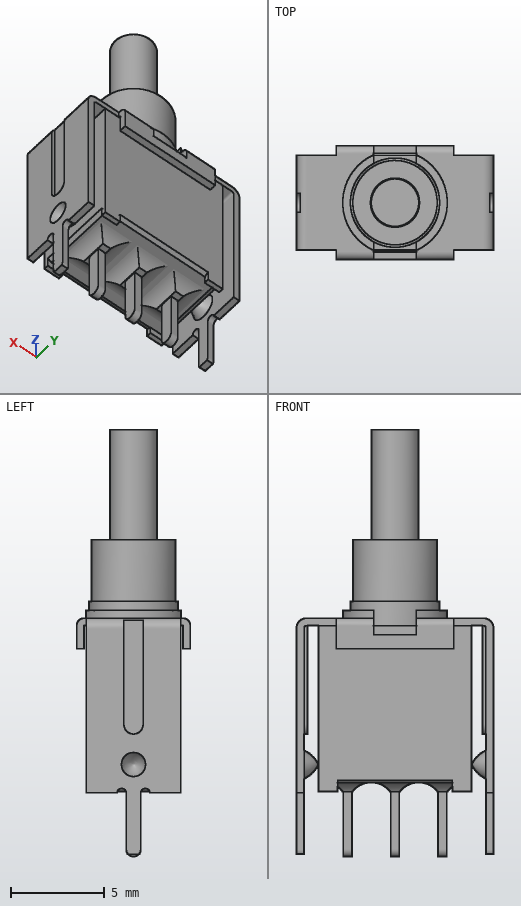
import cadquery as cq
import math


block_length = 8.2
block_width = 5.08
block_bottom = -8.88
recess_length = 6.15
recess_width = 4.5
recess_ceiling = block_bottom + 0.62

bushing_diameter = 4.52
bushing_top = 4.6
bushing_base_diameter = 4.78
bushing_base_top = 1.3
plunger_diameter = 2.54
plunger_bore_diameter = 2.63
plunger_top = 10.49
overall_height = 22.85

pin_pitch = 2.54
pin_count = 3
pin_thickness = 0.48
pin_width = 0.78
pin_bottom = plunger_top - overall_height
sealant_film = 0.15
sealant_edge_taper = 60
skirt_foot_length = 0.54
skirt_foot_width = 1.6
skirt_middle_offset = 0.24
skirt_middle_height = 0.24
skirt_root_offset = 0.82

sheet = 0.41
bracket_length = 10.56
bracket_width = block_width
leg_bend_radius = 0.55
leg_bottom = -8.95
bracket_pin_bottom = -12.22
bracket_pin_cut = 0.17
relief_radius = 0.24

tab_length = 6.3
tab_span = 6.1
tab_bottom = -1.24
tab_bend_radius = 0.999 * sheet
notch_length = 2.3
notch_bottom = -0.485
collar_diameter = 5.6
collar_top = 2 * sheet

rib_width = 1.03
rib_depth = 0.2
rib_bottom = -5.8
dimple_z = -7.43
dimple_mouth_diameter = 1.29
dimple_base_diameter = 1.55
dimple_bulge = 0.1

half_length = bracket_length / 2
leg_inner_x = half_length - sheet
pin_xs = [(i - (pin_count - 1) / 2) * pin_pitch for i in range(pin_count)]


def box_between(x_min, x_max, y_min, y_max, z_min, z_max):
    """Axis-aligned box between the given limits."""
    size = (x_max - x_min, y_max - y_min, z_max - z_min)
    return cq.Workplane("XY").box(*size, centered=False).translate((x_min, y_min, z_min))


def cylinder(diameter, z_min, z_max):
    """Upright cylinder on the Z axis."""
    return cq.Workplane("XY").workplane(offset=z_min).circle(diameter / 2).extrude(z_max - z_min)


def round_tipped_strip(width, tip_z, top_z, x_min, x_max):
    """Upright strip with a half-round lower end, lying between two X planes."""
    radius = width / 2
    return (
        cq.Workplane("YZ")
        .workplane(offset=x_min)
        .moveTo(-radius, top_z)
        .lineTo(-radius, tip_z + radius)
        .threePointArc((0, tip_z), (radius, tip_z + radius))
        .lineTo(radius, top_z)
        .close()
        .extrude(x_max - x_min)
    )


def both_ends(right_half):
    """The given shape together with its mirror image across the YZ plane."""
    return right_half.union(right_half.mirror("YZ"))



def make_skirt_prism(plane, foot):
    """Long prism whose section flares in a hollow curve from its foot up to the sealant film."""
    middle = foot + skirt_middle_offset
    root = foot + skirt_root_offset
    middle_z = block_bottom + skirt_middle_height
    film_z = recess_ceiling - sealant_film
    return (
        cq.Workplane(plane)
        .moveTo(-foot, block_bottom)
        .lineTo(foot, block_bottom)
        .threePointArc((middle, middle_z), (root, film_z))
        .lineTo(root, recess_ceiling)
        .lineTo(-root, recess_ceiling)
        .lineTo(-root, film_z)
        .threePointArc((-middle, middle_z), (-foot, block_bottom))
        .close()
        .extrude(block_length / 2, both=True)
    )


def make_sealant():
    """Film under the block with sloping edges, and a four-sided skirt around each pin."""
    film = (
        cq.Workplane("XY", origin=(0, 0, recess_ceiling))
        .rect(block_length, block_width)
        .extrude(-sealant_film, taper=sealant_edge_taper)
    )
    skirt = make_skirt_prism("XZ", skirt_foot_length / 2)
    skirt = skirt.intersect(make_skirt_prism("YZ", skirt_foot_width / 2))
    for x in pin_xs:
        film = film.union(skirt.translate((x, 0, 0)))
    return film


def make_housing():
    """Block on four corner feet, with sealant, pins, bushing and plunger."""
    block_end = block_length / 2
    block_side = block_width / 2
    body = box_between(-block_end, block_end, -block_side, block_side, recess_ceiling, 0)
    foot = box_between(
        recess_length / 2, block_end, recess_width / 2, block_side, block_bottom, recess_ceiling
    )
    right_feet = foot.union(foot.mirror("XZ"))
    body = body.union(both_ends(right_feet)).union(make_sealant())
    for x in pin_xs:
        half_pin = pin_thickness / 2
        body = body.union(
            round_tipped_strip(pin_width, pin_bottom, recess_ceiling, x - half_pin, x + half_pin)
        )
    body = body.union(cylinder(bushing_base_diameter, 0, bushing_base_top))
    body = body.union(cylinder(bushing_diameter, 0, bushing_top))
    body = body.cut(cylinder(plunger_bore_diameter, 0, bushing_top))
    return body.union(cylinder(plunger_diameter, 0, plunger_top))



def make_channel():
    """Top plate with a leg bent down at each end."""
    half_width = bracket_width / 2
    outer = box_between(-half_length, half_length, -half_width, half_width, leg_bottom, sheet)
    outer = outer.edges("|Y and >Z").fillet(leg_bend_radius)
    inner = box_between(-leg_inner_x, leg_inner_x, -half_width, half_width, leg_bottom, 0)
    inner = inner.edges("|Y and >Z").fillet(leg_bend_radius - sheet)
    return outer.cut(inner)


def make_tabs():
    """Strip across the plate whose front and back ends are bent down over the block."""
    outer = cq.Workplane("XY").box(tab_length, tab_span, sheet - tab_bottom, centered=(True, True, False))
    outer = outer.translate((0, 0, tab_bottom)).edges("|X and >Z").fillet(tab_bend_radius)
    inner = cq.Workplane("XY").box(tab_length, tab_span - 2 * sheet, 2 * -tab_bottom)
    return outer.cut(inner.translate((0, 0, tab_bottom)))


def make_bracket_pin():
    """Solder pin below a leg, its half-round end cut off flat."""
    radius = pin_width / 2
    blank_tip = bracket_pin_bottom - bracket_pin_cut
    pin = round_tipped_strip(pin_width, blank_tip, leg_bottom, leg_inner_x, half_length)
    keep = box_between(leg_inner_x, half_length, -radius, radius, bracket_pin_bottom, leg_bottom)
    return pin.intersect(keep)


def make_pin_reliefs():
    """Half-round notches in the leg edge on both sides of its pin."""
    offset = pin_width / 2 + relief_radius
    return (
        cq.Workplane("YZ")
        .workplane(offset=leg_inner_x)
        .pushPoints([(-offset, leg_bottom), (offset, leg_bottom)])
        .circle(relief_radius)
        .extrude(sheet)
    )


def make_dimple_cone(apex_x, mouth_x, mouth_radius):
    """Slightly bulging cone along X, pointing at the block."""
    slant = math.hypot(mouth_x - apex_x, mouth_radius)
    middle = (
        (apex_x + mouth_x) / 2 - dimple_bulge * mouth_radius / slant,
        mouth_radius / 2 + dimple_bulge * (mouth_x - apex_x) / slant,
    )
    return (
        cq.Workplane("XY")
        .moveTo(apex_x, 0)
        .threePointArc(middle, (mouth_x, mouth_radius))
        .lineTo(mouth_x, 0)
        .close()
        .revolve(360, (0, 0, 0), (1, 0, 0))
        .translate((0, 0, dimple_z))
    )


def make_bracket():
    """Bent bracket with tabs, collar, solder pins, pressed ribs and dimples."""
    body = make_channel().union(make_tabs()).union(cylinder(collar_diameter, 0, collar_top))
    body = body.union(both_ends(make_bracket_pin())).cut(both_ends(make_pin_reliefs()))

    rib = round_tipped_strip(rib_width, rib_bottom, 0, leg_inner_x - rib_depth, leg_inner_x)
    groove = round_tipped_strip(rib_width, rib_bottom, sheet, half_length - rib_depth, half_length)
    body = body.union(both_ends(rib)).cut(both_ends(groove))

    tip_x = block_length / 2
    bump = make_dimple_cone(tip_x, leg_inner_x, dimple_base_diameter / 2)
    hollow = make_dimple_cone(tip_x + sheet, half_length, dimple_mouth_diameter / 2)
    body = body.union(both_ends(bump)).cut(both_ends(hollow))

    notch = cq.Workplane("XY").box(notch_length, tab_span, collar_top - notch_bottom)
    body = body.cut(notch.translate((0, 0, (collar_top + notch_bottom) / 2)))
    return body.cut(cylinder(bushing_base_diameter, 0, collar_top))


housing = make_housing()
bracket = make_bracket()
result = cq.Compound.makeCompound([housing.val(), bracket.val()])